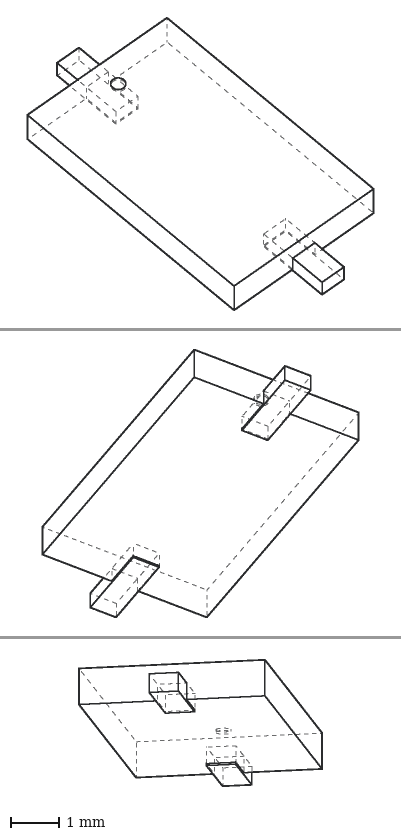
import cadquery as cq

overall_length = 8.1
overall_height = 0.81

body_length = 6.32
body_width = 3.91
standoff = 0.04
body_height = overall_height - standoff

lead_length = 1.79
lead_width = 0.615
lead_height = 0.4

mark_diameter = 0.315
mark_depth = 0.05
mark_offset = 0.49
mark_x = -body_length / 2 + mark_offset + mark_diameter / 2

BOTTOM_CENTERED = (True, True, False)


def make_lead(side):
    """Flat lead at one end: side is -1 for the -X end, +1 for the +X end."""
    center_x = side * (overall_length - lead_length) / 2
    return (
        cq.Workplane("XY")
        .box(lead_length, lead_width, lead_height, centered=BOTTOM_CENTERED)
        .translate((center_x, 0, 0))
    )


def make_mark():
    """Round mark whose top is level with the top of the body."""
    return (
        cq.Workplane("XY", origin=(mark_x, 0, overall_height - mark_depth))
        .circle(mark_diameter / 2)
        .extrude(mark_depth)
    )


def make_body(leads, mark):
    """Rectangular block with matching pockets for the leads and the mark."""
    body = (
        cq.Workplane("XY")
        .box(body_length, body_width, body_height, centered=BOTTOM_CENTERED)
        .translate((0, 0, standoff))
    )
    for insert in [*leads, mark]:
        body = body.cut(insert)
    return body


leads = [make_lead(side) for side in (-1, 1)]
mark = make_mark()
body = make_body(leads, mark)

result = cq.Compound.makeCompound([body.val(), mark.val(), *[lead.val() for lead in leads]])